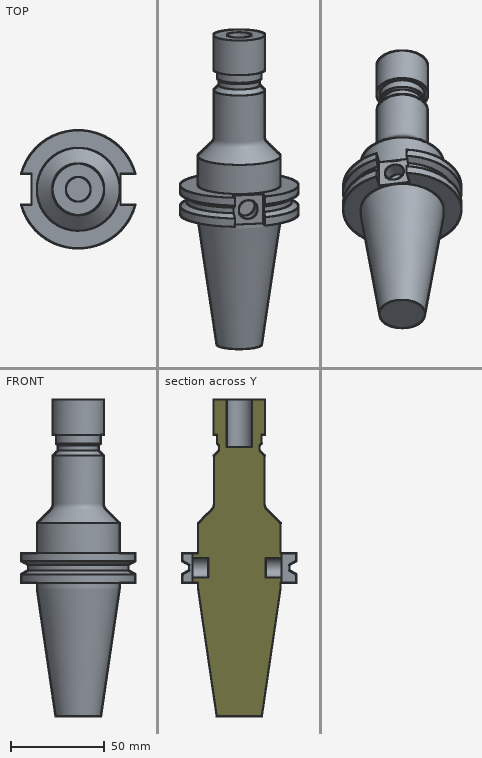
import cadquery as cq
import math

total_height = 169.8

shank_small_radius = 12.2
gauge_radius = 22.3
taper_height = 68.5

flange_radius = 31.8
flange_bottom = 71.5
flange_top = 87.5
groove_radius = 28.2
groove_lower_edge = 76.1
groove_upper_edge = 83.2
groove_flank_angle = math.radians(30)
groove_flank_height = (flange_radius - groove_radius) * math.tan(groove_flank_angle)

shoulder_bottom = 103.5
neck_radius = 13.8
shoulder_angle = math.radians(45)
blend_radius = 4.5

neck_top = 142.3
collar_groove_radius = 11.0
neck_chamfer = neck_radius - collar_groove_radius
collar_bottom = 145.2
collar_radius = 12.0
collar_chamfer = collar_radius - collar_groove_radius
head_bottom = 150.8
head_radius = 14.0
bore_radius = 6.6
bore_depth = 25.5

slot_width = 16.5
left_slot_floor = 25.1
right_slot_floor = 22.8
slot_hole_radius = 5.1
slot_hole_depth = 8.5


def make_turned_body():
    """Revolve the half profile, listed as (radius, height), about Z."""
    shoulder_corner = shoulder_bottom + (gauge_radius - neck_radius) * math.tan(shoulder_angle)
    blend_top = shoulder_corner + blend_radius * math.tan(shoulder_angle / 2)

    def blend_point(angle):
        return (
            neck_radius + blend_radius * (1 - math.cos(angle)),
            blend_top - blend_radius * math.sin(angle),
        )

    return (
        cq.Workplane("XZ")
        .moveTo(0, 0)
        .lineTo(shank_small_radius, 0)
        .lineTo(gauge_radius, taper_height)
        .lineTo(gauge_radius, flange_bottom)
        .lineTo(flange_radius, flange_bottom)
        .lineTo(flange_radius, groove_lower_edge)
        .lineTo(groove_radius, groove_lower_edge + groove_flank_height)
        .lineTo(groove_radius, groove_upper_edge - groove_flank_height)
        .lineTo(flange_radius, groove_upper_edge)
        .lineTo(flange_radius, flange_top)
        .lineTo(gauge_radius, flange_top)
        .lineTo(gauge_radius, shoulder_bottom)
        .lineTo(*blend_point(shoulder_angle))
        .threePointArc(blend_point(shoulder_angle / 2), blend_point(0))
        .lineTo(neck_radius, neck_top - neck_chamfer)
        .lineTo(collar_groove_radius, neck_top)
        .lineTo(collar_groove_radius, collar_bottom)
        .lineTo(collar_radius, collar_bottom + collar_chamfer)
        .lineTo(collar_radius, head_bottom)
        .lineTo(head_radius, head_bottom)
        .lineTo(head_radius, total_height)
        .lineTo(0, total_height)
        .close()
        .revolve(360, (0, 0, 0), (0, 1, 0))
    )


def make_drive_slot(side, slot_floor):
    """Slot and floor hole to remove; side is -1 or +1 along X, slot_floor its distance from the axis."""
    flange_middle = (flange_bottom + flange_top) / 2
    slot = (
        cq.Workplane("XY")
        .box(flange_radius, slot_width, flange_top - flange_bottom)
        .translate((side * (slot_floor + flange_radius / 2), 0, flange_middle))
    )
    hole = cq.Workplane(
        cq.Solid.makeCylinder(
            slot_hole_radius,
            slot_hole_depth,
            cq.Vector(side * slot_floor, 0, flange_middle),
            cq.Vector(-side, 0, 0),
        )
    )
    return slot.union(hole)


def make_bore():
    """Blind bore in the top of the head."""
    return (
        cq.Workplane("XY")
        .workplane(offset=total_height - bore_depth)
        .circle(bore_radius)
        .extrude(bore_depth)
    )


result = make_turned_body().cut(make_bore())
result = result.cut(make_drive_slot(-1, left_slot_floor))
result = result.cut(make_drive_slot(1, right_slot_floor))